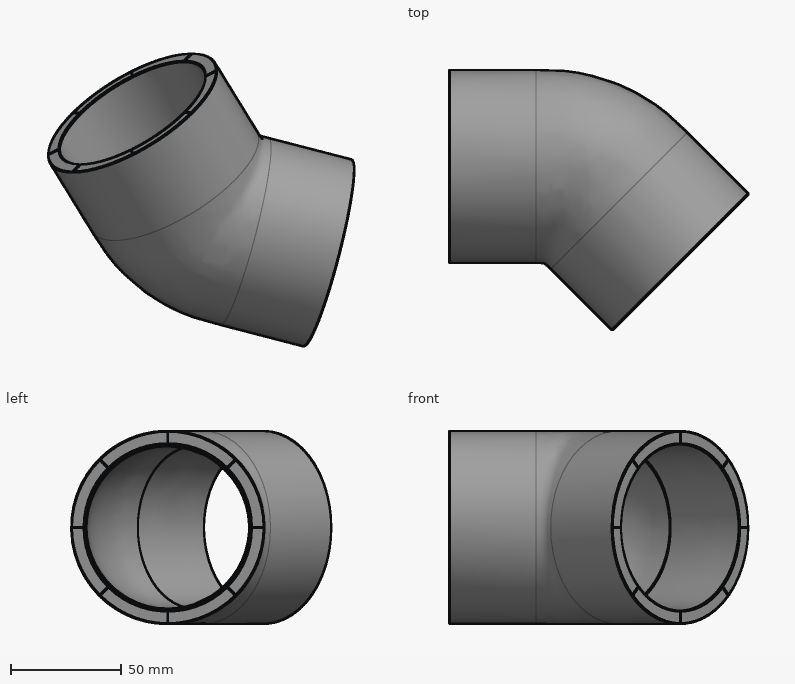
import cadquery as cq
import math


bend_angle = 45.0
leg_length = 61.4
outer_radius = 87.6 / 2
bore_radius = 36.8
socket_depth = 43.8
socket_bottom_radius = 37.5
socket_mouth_radius = 37.65
lead_in = 0.5
rim_chamfer = 0.4
mark_count = 8
mark_width = 0.4
mark_depth = 0.2

outer_back_tangent = 36.0
outer_side_tangent = 4.5
outer_throat_tangent = 1.1
throat_blend_width = 12.0
bore_back_tangent = 32.6
bore_throat_tangent = 1.0

bend_reach = 22.0
section_count = 13
points_per_section = 36

half_angle = math.radians(bend_angle / 2)
fan_distance = bend_reach / math.sin(half_angle)

crossing = cq.Vector(leg_length, 0, 0)
out_direction = cq.Vector(math.sin(half_angle), math.cos(half_angle), 0)
along_direction = cq.Vector(math.cos(half_angle), -math.sin(half_angle), 0)
fan_axis = crossing - out_direction * fan_distance

leg_2_direction = cq.Vector(math.cos(2 * half_angle), -math.sin(2 * half_angle), 0)
leg_1_plane = cq.Plane(origin=(0, 0, 0), xDir=(0, 0, 1), normal=(1, 0, 0))
leg_2_plane = cq.Plane(
    origin=crossing + leg_2_direction * leg_length,
    xDir=(0, 0, 1),
    normal=leg_2_direction * -1,
)


def outer_tangent(offset):
    """Tangent length of the outside rounding at a sideways offset from the pipe axis."""
    if offset >= 0:
        return outer_side_tangent + (outer_back_tangent - outer_side_tangent) * offset / outer_radius
    fade = max(0.0, 1 + offset / throat_blend_width)
    return outer_throat_tangent + (outer_side_tangent - outer_throat_tangent) * fade**2


def bore_tangent(offset):
    """Tangent length of the bore rounding at a sideways offset from the pipe axis."""
    growth = max(0.0, offset / bore_radius)
    return bore_throat_tangent + (bore_back_tangent - bore_throat_tangent) * growth


def fan_ray_length(offset, tangent, fan_angle):
    """Distance from the fan axis to the rounded mitre line lying at this offset."""
    apex = offset / math.cos(half_angle) + fan_distance
    angle = abs(fan_angle)
    tangent_angle = math.atan2(tangent * math.cos(half_angle), apex - tangent * math.sin(half_angle))
    if angle >= tangent_angle:
        return apex / (math.cos(angle) + math.tan(half_angle) * math.sin(angle))
    radius = tangent / math.tan(half_angle)
    centre = apex - radius / math.cos(half_angle)
    return centre * math.cos(angle) + math.sqrt(radius**2 - (centre * math.sin(angle)) ** 2)


def bend_section(radius, tangent_at, fan_angle):
    """Closed planar outline of the bend where a fan plane cuts it."""
    ray = out_direction * math.cos(fan_angle) + along_direction * math.sin(fan_angle)
    points = []
    for i in range(points_per_section):
        around = 2 * math.pi * i / points_per_section
        offset = radius * math.sin(around)
        reach = fan_ray_length(offset, tangent_at(offset), fan_angle)
        points.append(fan_axis + ray * reach + cq.Vector(0, 0, radius * math.cos(around)))
    knots = [i / points_per_section for i in range(points_per_section + 1)]
    outline = cq.Edge.makeSpline(points, periodic=True, parameters=knots)
    return cq.Wire.assembleEdges([outline])


def end_section(radius, fan_angle):
    """Full circle at the end of the bend, where it meets a straight leg."""
    ray = out_direction * math.cos(fan_angle) + along_direction * math.sin(fan_angle)
    axis = along_direction * math.cos(fan_angle) - out_direction * math.sin(fan_angle)
    centre = fan_axis + ray * (fan_distance * math.cos(half_angle))
    plane = cq.Plane(origin=centre, xDir=(0, 0, 1), normal=axis * -1)
    return cq.Workplane(plane).circle(radius).wires().val()


def bend(radius, tangent_at):
    """Solid bend between the two legs."""
    step = 2 * half_angle / (section_count - 1)
    inner_angles = [i * step - half_angle for i in range(1, section_count - 1)]
    sections = [end_section(radius, -half_angle)]
    sections += [bend_section(radius, tangent_at, fan_angle) for fan_angle in inner_angles]
    sections.append(end_section(radius, half_angle))
    return cq.Workplane(cq.Solid.makeLoft(sections))


def turned(plane, profile):
    """Solid of revolution about a leg axis, from (radius, depth below the end face) points."""
    axis_plane = cq.Plane(origin=plane.origin, xDir=plane.xDir, normal=plane.yDir * -1)
    return cq.Workplane(axis_plane).polyline(profile).close().revolve(360, (0, 0), (0, 1))


def leg(plane):
    """Solid leg from its bevelled end face to the bend."""
    length = leg_length - bend_reach
    return turned(
        plane,
        [
            (0, 0),
            (outer_radius - rim_chamfer, 0),
            (outer_radius, rim_chamfer),
            (outer_radius, length),
            (0, length),
        ],
    )


def socket(plane):
    """Slightly tapered socket with a bevelled mouth, as a solid to cut."""
    return turned(
        plane,
        [
            (0, 0),
            (socket_mouth_radius + lead_in, 0),
            (socket_mouth_radius, lead_in),
            (socket_bottom_radius, socket_depth),
            (0, socket_depth),
        ],
    )


def end_marks(plane):
    """Narrow radial grooves across an end face, as a solid to cut."""
    return (
        cq.Workplane(plane)
        .polarArray(outer_radius / 2, 0, 360, mark_count)
        .rect(outer_radius, mark_width)
        .extrude(mark_depth)
    )


def hollow_bend():
    """Bend with its bore and the inner ends of both sockets removed."""
    body = bend(outer_radius, outer_tangent).cut(bend(bore_radius, bore_tangent))
    return body.cut(socket(leg_1_plane)).cut(socket(leg_2_plane))


def hollow_leg(plane):
    """Leg with its socket and end marks removed."""
    return leg(plane).cut(socket(plane)).cut(end_marks(plane))


result = hollow_leg(leg_1_plane).union(hollow_bend()).union(hollow_leg(leg_2_plane))